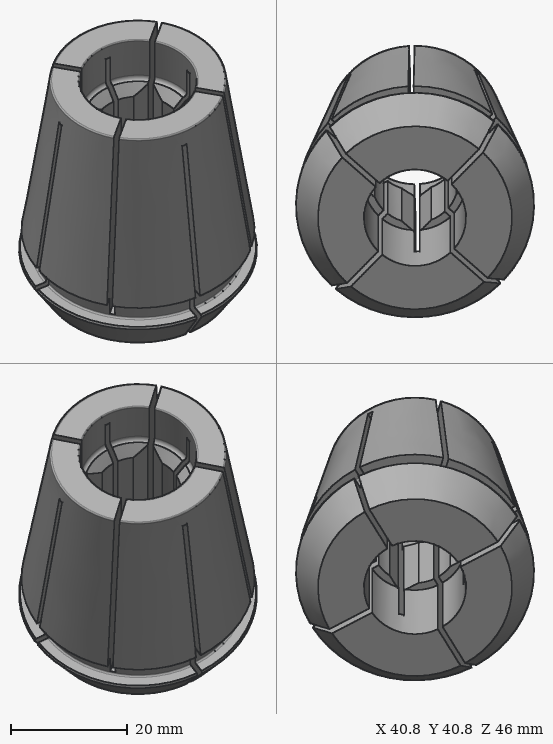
import cadquery as cq

HEIGHT = 46.0
RIM_EDGE_Z = 6.6
RIM_TOP_Z = 7.05
TAPER_BOTTOM_Z = 11.2

NOSE_RADIUS = 16.6
RIM_RADIUS = 40.8 / 2
RIM_TOP_RADIUS = 20.2
GROOVE_RADIUS = 18.1
TAPER_BOTTOM_RADIUS = 19.95
TAPER_TOP_RADIUS = 15.1

TOP_EDGE_FILLET = 0.28
GROOVE_FILLET = 0.3
BORE_EDGE_FILLET = 0.25

BORE_RADIUS = 10.05
BORE_FLOOR_Z = 37.08
BORE_CORNER_FILLET = 0.8

SHANK_RADIUS = 8.75
SHANK_DEPTH = 18.4
SQUARE_SIDE = 13.45
CLEARANCE_RADIUS = 7.4

SLOT_COUNT = 4
SLOT_WIDTH = 0.9
SLOT_OVERRUN = 2.3
SLOT_REACH = RIM_RADIUS + SLOT_OVERRUN
SLOT_PITCH = 360 / SLOT_COUNT
NOSE_SLOT_TOP_Z = 43.0
TOP_SLOT_BOTTOM_Z = 7.55


def revolve_about_z(profile):
    """Full turn of an XZ profile about the part axis."""
    return profile.revolve(360, (0, 0, 0), (0, 1, 0))


def cylinder(radius, bottom_z, top_z):
    """Round bar on the part axis."""
    return cq.Workplane("XY", origin=(0, 0, bottom_z)).circle(radius).extrude(top_z - bottom_z)


def make_body():
    """Tapered sleeve with a rounded nut groove and a flared nose rim."""
    sleeve = revolve_about_z(
        cq.Workplane("XZ")
        .lineTo(NOSE_RADIUS, 0)
        .lineTo(RIM_RADIUS, RIM_EDGE_Z)
        .lineTo(RIM_TOP_RADIUS, RIM_TOP_Z)
        .lineTo(TAPER_BOTTOM_RADIUS, RIM_TOP_Z)
        .lineTo(TAPER_BOTTOM_RADIUS, TAPER_BOTTOM_Z)
        .lineTo(TAPER_TOP_RADIUS, HEIGHT)
        .lineTo(0, HEIGHT)
        .close()
    )
    sleeve = sleeve.faces(">Z").edges().fillet(TOP_EDGE_FILLET)
    core = cylinder(GROOVE_RADIUS, RIM_TOP_Z, TAPER_BOTTOM_Z)
    groove = cylinder(RIM_RADIUS, RIM_TOP_Z, TAPER_BOTTOM_Z).cut(core)
    groove = groove.edges(cq.selectors.RadiusNthSelector(0)).fillet(GROOVE_FILLET)
    return sleeve.cut(groove)


def make_bore():
    """Top bore with a rounded mouth, and a 45 degree cone leading down to the clearance hole."""
    cone_top_radius = BORE_RADIUS - BORE_CORNER_FILLET
    cone_bottom_z = BORE_FLOOR_Z - (cone_top_radius - CLEARANCE_RADIUS)
    fillet_top_z = BORE_FLOOR_Z + BORE_CORNER_FILLET
    return revolve_about_z(
        cq.Workplane("XZ")
        .moveTo(0, cone_bottom_z)
        .lineTo(CLEARANCE_RADIUS, cone_bottom_z)
        .lineTo(cone_top_radius, BORE_FLOOR_Z)
        .radiusArc((BORE_RADIUS, fillet_top_z), -BORE_CORNER_FILLET)
        .lineTo(BORE_RADIUS, HEIGHT - BORE_EDGE_FILLET)
        .radiusArc((BORE_RADIUS + BORE_EDGE_FILLET, HEIGHT), BORE_EDGE_FILLET)
        .lineTo(0, HEIGHT)
        .close()
    )


def make_tap_seat():
    """Shank hole from the nose, then the square hole joined with the clearance hole."""
    shank = cylinder(SHANK_RADIUS, 0, SHANK_DEPTH)
    square = (
        cq.Workplane("XY", origin=(0, 0, SHANK_DEPTH))
        .rect(SQUARE_SIDE, SQUARE_SIDE)
        .extrude(BORE_FLOOR_Z - SHANK_DEPTH)
    )
    clearance = cylinder(CLEARANCE_RADIUS, 0, BORE_FLOOR_Z)
    return shank.union(square).union(clearance)


def cut_slots(body, bottom_z, top_z, start_angle):
    """Cut a ring of radial slots spanning the given heights."""
    slot = (
        cq.Workplane("XY", origin=(0, 0, bottom_z))
        .center(SLOT_REACH / 2, 0)
        .rect(SLOT_REACH, SLOT_WIDTH)
        .extrude(top_z - bottom_z)
    )
    for index in range(SLOT_COUNT):
        angle = start_angle + index * SLOT_PITCH
        body = body.cut(slot.rotate((0, 0, 0), (0, 0, 1), angle))
    return body


result = make_body().cut(make_bore()).cut(make_tap_seat())
result = cut_slots(result, 0, NOSE_SLOT_TOP_Z, 0)
result = cut_slots(result, TOP_SLOT_BOTTOM_Z, HEIGHT, SLOT_PITCH / 2)